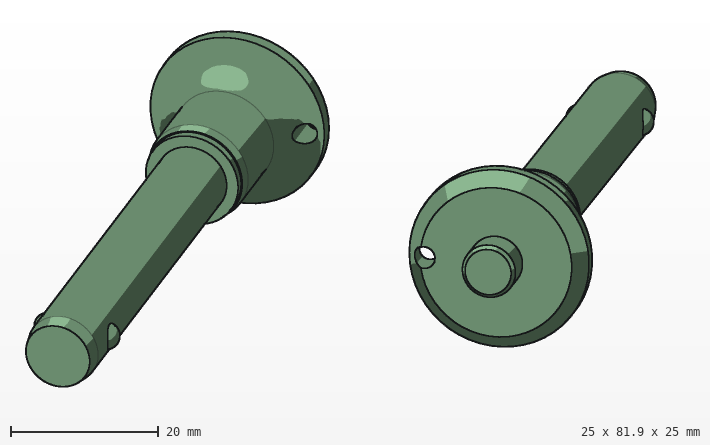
import cadquery as cq
import math

TOTAL_LENGTH = 81.9

BUTTON_RADIUS = 3.7
BUTTON_HEIGHT = 4.75
BUTTON_CHAMFER = 0.5

RIM_DIAMETER = 25.0
RIM_RADIUS = RIM_DIAMETER / 2
RIM_CHAMFER = 2.0
RIM_BAND_WIDTH = 2.0
GRIP_DIAMETER = 14.2
GRIP_RADIUS = GRIP_DIAMETER / 2
GRIP_LENGTH = 10.4
FLARE_RADIUS = RIM_RADIUS - GRIP_RADIUS

COLLAR_RADIUS = 6.6
COLLAR_TAPER_RADIUS = 6.8
COLLAR_TAPER_LENGTH = 1.5
COLLAR_LENGTH = 1.2

SHANK_RADIUS = 5.0
TIP_RADIUS = 4.6
TIP_LENGTH = 2.2

BALL_RADIUS = 1.9
BALL_REACH = 6.1
BALL_TO_TIP = 7.9

HOLE_DIAMETER = 3.0
HOLE_OFFSET = 10.0

button_end = TOTAL_LENGTH / 2
rim_top = button_end - BUTTON_HEIGHT
rim_edge = rim_top - RIM_CHAMFER
flare_start = rim_edge - RIM_BAND_WIDTH
flare_end = flare_start - FLARE_RADIUS
grip_end = flare_end - GRIP_LENGTH
collar_start = grip_end - COLLAR_TAPER_LENGTH
collar_end = collar_start - COLLAR_LENGTH
tip_end = button_end - TOTAL_LENGTH
tip_start = tip_end + TIP_LENGTH


def make_turned_body():
    """Revolve the half profile (radius along X) around the Y axis."""
    flare_inset = FLARE_RADIUS * math.sqrt(0.5)
    flare_middle = (RIM_RADIUS - flare_inset, flare_end + flare_inset)
    profile = (
        cq.Workplane("XY")
        .moveTo(0, button_end)
        .lineTo(BUTTON_RADIUS - BUTTON_CHAMFER, button_end)
        .lineTo(BUTTON_RADIUS, button_end - BUTTON_CHAMFER)
        .lineTo(BUTTON_RADIUS, rim_top)
        .lineTo(RIM_RADIUS - RIM_CHAMFER, rim_top)
        .lineTo(RIM_RADIUS, rim_edge)
        .lineTo(RIM_RADIUS, flare_start)
        .threePointArc(flare_middle, (GRIP_RADIUS, flare_end))
        .lineTo(GRIP_RADIUS, grip_end)
        .lineTo(COLLAR_TAPER_RADIUS, collar_start)
        .lineTo(COLLAR_RADIUS, collar_start)
        .lineTo(COLLAR_RADIUS, collar_end)
        .lineTo(SHANK_RADIUS, collar_end)
        .lineTo(SHANK_RADIUS, tip_start)
        .lineTo(TIP_RADIUS, tip_end)
        .lineTo(0, tip_end)
        .close()
    )
    return profile.revolve(360, (0, 0), (0, 1))


def add_locking_balls(body):
    """Set one ball into each side of the shank near the tip."""
    for side in (-1, 1):
        center = (side * (BALL_REACH - BALL_RADIUS), tip_end + BALL_TO_TIP, 0)
        body = body.union(cq.Workplane("XY").sphere(BALL_RADIUS).translate(center))
    return body


def cut_lanyard_hole(body):
    """Drill the rim parallel to the pin axis on the +X side."""
    drill = (
        cq.Workplane("XZ", origin=(HOLE_OFFSET, rim_top, 0))
        .circle(HOLE_DIAMETER / 2)
        .extrude(rim_top - flare_end)
    )
    return body.cut(drill)


result = cut_lanyard_hole(add_locking_balls(make_turned_body()))